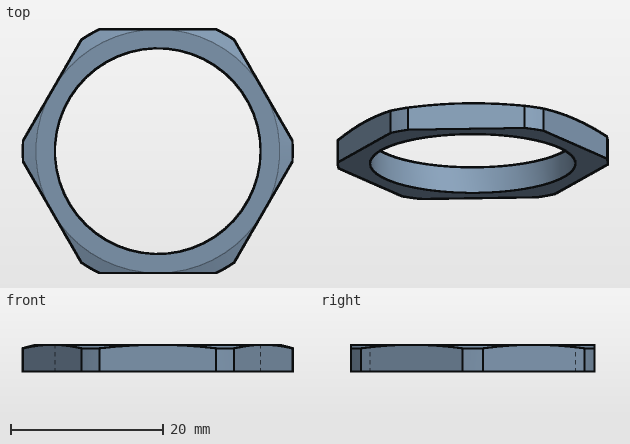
import cadquery as cq
import math

corner_diameter = 35.5
across_flats = 32.0
thickness = 3.5
bore_diameter = 26.97
chamfer_angle = 15.0

corner_radius = corner_diameter / 2
flat_radius = across_flats / 2
chamfer_drop = (corner_radius - flat_radius) * math.tan(math.radians(chamfer_angle))


def hexagon_prism():
    """Hexagon with points on the X axis and flats facing +Y and -Y."""
    across_points = across_flats / math.cos(math.pi / 6)
    return cq.Workplane("XY").polygon(6, across_points).extrude(thickness)


def chamfered_disc():
    """Turned blank whose top cone starts at the circle touching the flats."""
    return (
        cq.Workplane("XZ")
        .lineTo(corner_radius, 0)
        .lineTo(corner_radius, thickness - chamfer_drop)
        .lineTo(flat_radius, thickness)
        .lineTo(0, thickness)
        .close()
        .revolve(360, (0, 0, 0), (0, 1, 0))
    )


def bore():
    return cq.Workplane("XY").circle(bore_diameter / 2).extrude(thickness)


result = hexagon_prism().intersect(chamfered_disc()).cut(bore())